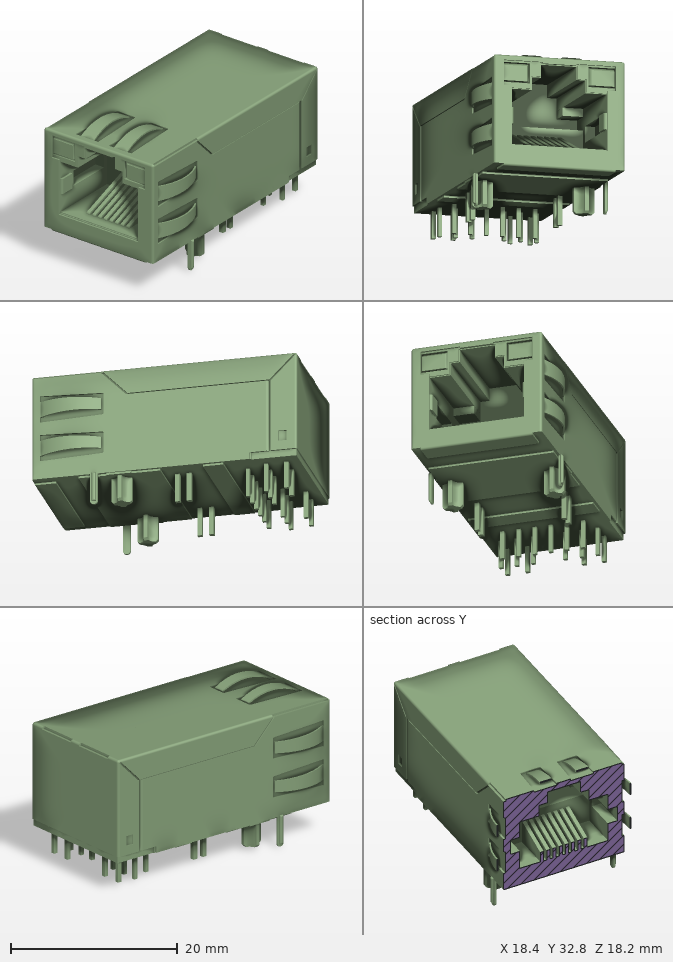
import cadquery as cq
import math

BODY_WIDTH = 16.5
BODY_LENGTH = 32.8
BODY_TOP = 13.55
STANDOFF = 0.25
SHEET = 0.25
EDGE_RADIUS = 0.3
HALF_WIDTH = BODY_WIDTH / 2
SIDES = (-1, 1)

CAVITY_HALF_WIDTH = 6.0
CAVITY_FLOOR = 2.72
CAVITY_DEPTH = 12.0
SHOULDER_HALF_WIDTH = 3.38
SHOULDER_BOTTOM = 9.5
SHOULDER_TOP = 11.05
LATCH_HALF_WIDTH = 2.22
LATCH_TOP = 12.65
LEAD_IN = 0.1
LEAD_IN_LENGTH = 0.15
SHIELD_OPENING_BOTTOM = 2.52
SHIELD_EAR_HALF_WIDTH = 7.05
SHIELD_EAR_BOTTOM = 9.9
SHIELD_EAR_TOP = 12.92
SHIELD_TONGUE_HALF_WIDTH = 2.1

COMB_FRONT = 9.6
COMB_TOP = 6.84
REAR_STOP_HALF_WIDTH = 3.4
REAR_STOP_BOTTOM = 8.5
CONTACT_COUNT = 8
CONTACT_PITCH = 0.852
CONTACT_WIDTH = 0.48
CONTACT_TIP_Y = 1.9
CONTACT_TIP_HEIGHT = 0.35
CONTACT_REAR_TOP = 5.8
GRIP_BOTTOM = 5.22
GRIP_TOP = 7.24
GRIP_PROUD = 0.33
GRIP_NOSE_RADIUS = 0.3
GRIP_REAR = 2.3
GRIP_SLOT_FRONT = 2.95
GRIP_SLOT_REAR = 9.0
GRIP_SLOT_DEPTH = 1.28

LED_INNER = 3.7
LED_BOTTOM = 10.25
LED_TOP = 12.7
LED_GAP = 0.1
LED_SILL = 0.22
LED_CHAMFER = 0.25
LED_POCKET_REAR = 0.9

SPRING_HEIGHT = 0.95
SPRING_SHEET = 0.2
SPRING_FOOT_DEPTH = 0.08
SPRING_FRONT = 1.25
SPRING_REAR = 8.56
SPRING_FRONT_HALF_WIDTH = 0.99
SPRING_REAR_HALF_WIDTH = 0.72
WINDOW_FRONT = 1.0
WINDOW_REAR = 8.88
WINDOW_FRONT_HALF_WIDTH = 1.7
WINDOW_REAR_HALF_WIDTH = 1.38
WINDOW_CORNER_RADIUS = 0.2
TOP_SPRING_X = 2.5
SIDE_SPRING_Z = (4.25, 9.27)

FLAP_BOTTOM = 10.27
FLAP_FRONT = 11.75
FLAP_REAR = 29.5
FLAP_RISE = 3.0
SEAM_WIDTH = 0.22
FLAP_SEAM_WIDTH = 0.12
REAR_SEAM_WIDTH = 0.19
REAR_SEAM_RADIUS = 0.41
REAR_SEAM_Y = 29.55
FRONT_CORNER_LENGTH = 8.9
REAR_NOTCHES = ((-6.25, -0.75), (0.75, 6.25))
REAR_NOTCH_SIZE = 0.35

BASE_FRONT = 26.9
BASE_TOP = 1.1
BASE_REAR_INSET = 0.12
BASE_LEDGE = 0.23
LATCH_WINDOW_FRONT = 30.5
LATCH_WINDOW_REAR = 31.5
LATCH_WINDOW_BOTTOM = 2.26
LATCH_WINDOW_HEIGHT = 1.28
LATCH_WINDOW_FLAT = 0.25

FRONT_FLANGE_LENGTH = 2.7
STANDOFF_BANDS = ((5.7, 15.8), (21.1, 23.6))
STANDOFF_HALF_WIDTH = 7.9
PEG_X = 6.4
PEG_Y = 10.73
PEG_SPAN = 2.57
PEG_RIB_WIDTH = 0.5
PEG_BOTTOM = -3.22
PEG_TIP_CHAMFER = 0.28
PEG_PAD_LENGTH = 3.1
PEG_PAD_WIDTH = 3.4
TAB_Y = 7.68
TAB_WIDTH = 0.95
TAB_BOTTOM = -3.68
TAB_RIB_WIDTH = 0.5
TAB_RIB_TOP = 0.4
TAB_RIB_BOTTOM = -3.3
TAB_RIB_PROUD = 0.27
TAB_RIB_RADIUS = 0.22

PIN_ROWS = (
    (31.02, 0.52, -3.1, (3.57, 6.1)),
    (28.5, 0.48, -3.32, (2.03, 4.1, 6.1)),
    (26.0, 0.48, -3.32, (1.0, 3.03, 5.1)),
    (18.85, 0.58, -3.32, (5.5,)),
    (17.4, 0.58, -3.32, (5.5,)),
)


def block(x_range, y_range, z_range):
    """Axis-aligned box given by its limits."""
    size = [limits[1] - limits[0] for limits in (x_range, y_range, z_range)]
    return cq.Workplane("XY").box(*size, centered=False).translate((x_range[0], y_range[0], z_range[0]))


def both_sides(solid):
    """The solid together with its mirror image across the centre plane."""
    return solid.union(solid.mirror("YZ"))


def front_prism(points, y_start, y_end):
    """Extrude an XZ outline from y_start to y_end."""
    return cq.Workplane("XZ", origin=(0, y_start, 0)).polyline(points).close().extrude(y_start - y_end)


def side_prism(points, depth):
    """Extrude a YZ outline inward from the +X side face."""
    return cq.Workplane("YZ", origin=(HALF_WIDTH, 0, 0)).polyline(points).close().extrude(-depth)


def mirrored_outline(right_half):
    """Close an XZ outline that is symmetric about X = 0 from its right half, listed bottom to top."""
    return right_half + [(-x, z) for x, z in reversed(right_half)]


def shell():
    """Outer block with the upright and top edges rounded."""
    body = block((-HALF_WIDTH, HALF_WIDTH), (0, BODY_LENGTH), (STANDOFF, BODY_TOP))
    return body.edges("|Z or >Z").fillet(EDGE_RADIUS)


def housing_outline(clearance):
    """Plug-shaped outline, widened all round by the clearance except at the side walls."""
    return mirrored_outline([
        (CAVITY_HALF_WIDTH, CAVITY_FLOOR - clearance),
        (CAVITY_HALF_WIDTH, SHOULDER_BOTTOM + clearance),
        (SHOULDER_HALF_WIDTH + clearance, SHOULDER_BOTTOM + clearance),
        (SHOULDER_HALF_WIDTH + clearance, SHOULDER_TOP + clearance),
        (LATCH_HALF_WIDTH + clearance, SHOULDER_TOP + clearance),
        (LATCH_HALF_WIDTH + clearance, LATCH_TOP + clearance),
    ])


def jack_opening():
    """Opening in the front sheet, then the stepped mouth and the cavity of the housing."""
    shield = mirrored_outline([
        (CAVITY_HALF_WIDTH, SHIELD_OPENING_BOTTOM),
        (CAVITY_HALF_WIDTH, SHIELD_EAR_BOTTOM),
        (SHIELD_EAR_HALF_WIDTH, SHIELD_EAR_BOTTOM),
        (SHIELD_EAR_HALF_WIDTH, SHIELD_EAR_TOP),
        (SHIELD_TONGUE_HALF_WIDTH, SHIELD_EAR_TOP),
        (SHIELD_TONGUE_HALF_WIDTH, LATCH_TOP + LEAD_IN),
    ])
    opening = front_prism(shield, 0, SHEET)
    opening = opening.union(front_prism(housing_outline(LEAD_IN), 0, SHEET + LEAD_IN_LENGTH))
    return opening.union(front_prism(housing_outline(0), 0, CAVITY_DEPTH))


def cavity_rear():
    """Wall behind the contacts and the two blocks hanging at the rear of the cavity."""
    comb = block(
        (-CAVITY_HALF_WIDTH, CAVITY_HALF_WIDTH),
        (COMB_FRONT, CAVITY_DEPTH),
        (CAVITY_FLOOR, COMB_TOP),
    )
    stop = block(
        (REAR_STOP_HALF_WIDTH, CAVITY_HALF_WIDTH),
        (COMB_FRONT, CAVITY_DEPTH),
        (REAR_STOP_BOTTOM, SHOULDER_BOTTOM),
    )
    return comb.union(both_sides(stop))


def contacts():
    """Sloping contact wires that rise from rounded tips on the floor to the comb wall."""
    tip_top = CAVITY_FLOOR + CONTACT_TIP_HEIGHT
    tip_shoulder = CONTACT_TIP_Y + CONTACT_TIP_HEIGHT
    bow = CONTACT_TIP_HEIGHT * (1 - math.sqrt(0.5))
    profile = (
        cq.Workplane("YZ")
        .moveTo(CONTACT_TIP_Y, CAVITY_FLOOR)
        .threePointArc((CONTACT_TIP_Y + bow, tip_top - bow), (tip_shoulder, tip_top))
        .lineTo(COMB_FRONT, CONTACT_REAR_TOP)
        .lineTo(COMB_FRONT, CAVITY_FLOOR)
        .close()
    )
    wire = profile.extrude(CONTACT_WIDTH / 2, both=True)
    first_x = -CONTACT_PITCH * (CONTACT_COUNT - 1) / 2
    row = wire.translate((first_x, 0, 0))
    for index in range(1, CONTACT_COUNT):
        row = row.union(wire.translate((first_x + index * CONTACT_PITCH, 0, 0)))
    return row


def grip_slots():
    """Recesses in the cavity side walls behind the inner grounding springs."""
    slot = block(
        (CAVITY_HALF_WIDTH, CAVITY_HALF_WIDTH + GRIP_SLOT_DEPTH),
        (GRIP_SLOT_FRONT, GRIP_SLOT_REAR),
        (GRIP_BOTTOM, GRIP_TOP),
    )
    return both_sides(slot)


def grips():
    """Inner grounding springs with a rounded leading edge."""
    grip = block(
        (CAVITY_HALF_WIDTH - GRIP_PROUD, CAVITY_HALF_WIDTH),
        (SHEET, GRIP_REAR),
        (GRIP_BOTTOM, GRIP_TOP),
    )
    return both_sides(grip.edges("|Z and <X and <Y").fillet(GRIP_NOSE_RADIUS))


def led_pockets():
    """Pockets in the upper front corners that hold the lenses."""
    pocket = block((LED_INNER, SHIELD_EAR_HALF_WIDTH), (0, LED_POCKET_REAR), (LED_BOTTOM, LED_TOP))
    return both_sides(pocket)


def led_lenses():
    """Lenses bevelled along their inner and top edges, raised above the pocket floor."""
    lens = block(
        (LED_INNER + LED_GAP, SHIELD_EAR_HALF_WIDTH - LED_GAP),
        (SHEET, LED_POCKET_REAR),
        (LED_BOTTOM + LED_SILL, LED_TOP - LED_GAP),
    )
    front_edges = lens.faces("<Y").edges("<X or >Z")
    return both_sides(front_edges.chamfer(LED_CHAMFER))


def spring_window():
    """Tapered window cutter for a spring, around Z = 0 on the +X side face."""
    outline = [
        (WINDOW_FRONT, -WINDOW_FRONT_HALF_WIDTH),
        (WINDOW_REAR, -WINDOW_REAR_HALF_WIDTH),
        (WINDOW_REAR, WINDOW_REAR_HALF_WIDTH),
        (WINDOW_FRONT, WINDOW_FRONT_HALF_WIDTH),
    ]
    return side_prism(outline, SHEET).edges("|X and >Y").fillet(WINDOW_CORNER_RADIUS)


def spring():
    """Tapered, outward bowed strip around Z = 0 on the +X side face, with both feet on the window floor."""
    chord = SPRING_REAR - SPRING_FRONT
    radius = (chord ** 2 / 4 + SPRING_HEIGHT ** 2) / (2 * SPRING_HEIGHT)
    center = (HALF_WIDTH + SPRING_HEIGHT - radius, (SPRING_FRONT + SPRING_REAR) / 2)
    arch = cq.Workplane("XY").center(*center).circle(radius).circle(radius - SPRING_SHEET)
    arch = arch.extrude(WINDOW_FRONT_HALF_WIDTH, both=True)
    foot_front = block(
        (HALF_WIDTH - SHEET, HALF_WIDTH - SPRING_FOOT_DEPTH),
        (WINDOW_FRONT, SPRING_FRONT + SPRING_SHEET),
        (-SPRING_FRONT_HALF_WIDTH, SPRING_FRONT_HALF_WIDTH),
    )
    outline = [
        (WINDOW_FRONT, -SPRING_FRONT_HALF_WIDTH),
        (SPRING_REAR, -SPRING_REAR_HALF_WIDTH),
        (SPRING_REAR, SPRING_REAR_HALF_WIDTH),
        (WINDOW_FRONT, SPRING_FRONT_HALF_WIDTH),
    ]
    envelope = side_prism(outline, SHEET).union(side_prism(outline, -2 * SPRING_HEIGHT))
    return arch.union(foot_front).intersect(envelope)


def placed_on_shield(feature):
    """Copies of a +X side feature at every spring position: two per side and two on the top."""
    copies = None
    for height in SIDE_SPRING_Z:
        pair = both_sides(feature.translate((0, 0, height)))
        copies = pair if copies is None else copies.union(pair)
    on_top = feature.rotate((0, 0, 0), (0, 1, 0), -90).translate((0, 0, BODY_TOP - HALF_WIDTH))
    return copies.union(both_sides(on_top.translate((TOP_SPRING_X, 0, 0))))


def flap_seams():
    """Narrow gaps along the lower edge and the two 45 degree edges of the folded side flap."""
    flap_top = FLAP_BOTTOM + FLAP_RISE
    half = FLAP_SEAM_WIDTH / 2
    lower = [
        (FLAP_FRONT, FLAP_BOTTOM - half),
        (FLAP_REAR, FLAP_BOTTOM - half),
        (FLAP_REAR, FLAP_BOTTOM + half),
        (FLAP_FRONT, FLAP_BOTTOM + half),
    ]
    seams = side_prism(lower, SHEET)
    shift = SEAM_WIDTH / math.sqrt(2)
    for start, direction in ((FLAP_FRONT, -1), (FLAP_REAR, 1)):
        end = start + direction * FLAP_RISE
        slanted = [
            (start - shift, FLAP_BOTTOM),
            (start + shift, FLAP_BOTTOM),
            (end + shift, flap_top),
            (end - shift, flap_top),
        ]
        seams = seams.union(side_prism(slanted, SHEET))
    return both_sides(seams)


def rear_seams():
    """Upright gap ahead of the rear wrap, where the side sheet rolls inward."""
    wall = REAR_SEAM_Y - REAR_SEAM_WIDTH
    tangent = wall - REAR_SEAM_RADIUS
    depth_x = HALF_WIDTH - REAR_SEAM_RADIUS
    diagonal = REAR_SEAM_RADIUS * math.sqrt(0.5)
    groove = (
        cq.Workplane("XY", origin=(0, 0, BASE_TOP))
        .moveTo(HALF_WIDTH, tangent)
        .threePointArc((depth_x + diagonal, tangent + diagonal), (depth_x, wall))
        .lineTo(depth_x, REAR_SEAM_Y)
        .lineTo(HALF_WIDTH, REAR_SEAM_Y)
        .close()
        .extrude(FLAP_BOTTOM - BASE_TOP)
    )
    return both_sides(groove)


def edge_notches():
    """Open corners of the shield along the front of the side edges and along the rear edge."""
    side = block(
        (HALF_WIDTH - EDGE_RADIUS, HALF_WIDTH),
        (EDGE_RADIUS, FRONT_CORNER_LENGTH),
        (BODY_TOP - SHEET, BODY_TOP),
    )
    notches = both_sides(side)
    for x_range in REAR_NOTCHES:
        rear = block(
            x_range,
            (BODY_LENGTH - REAR_NOTCH_SIZE, BODY_LENGTH),
            (BODY_TOP - REAR_NOTCH_SIZE, BODY_TOP),
        )
        notches = notches.union(rear)
    return notches


def base_cutback():
    """Sheet removed around the bare housing at the lower rear, with a stepped front end."""
    z_range = (0, BASE_TOP)
    side = block((HALF_WIDTH - SHEET, HALF_WIDTH), (BASE_FRONT + BASE_LEDGE, BODY_LENGTH), z_range)
    step = block((HALF_WIDTH - SHEET / 2, HALF_WIDTH), (BASE_FRONT, BASE_FRONT + BASE_LEDGE), z_range)
    rear = block((-HALF_WIDTH, HALF_WIDTH), (BODY_LENGTH - BASE_REAR_INSET, BODY_LENGTH), z_range)
    return both_sides(side.union(step)).union(rear)


def latch_windows():
    """Small side windows with a ramp rising to the front."""
    profile = [
        (HALF_WIDTH, LATCH_WINDOW_FRONT),
        (HALF_WIDTH - SHEET / 2, LATCH_WINDOW_FRONT),
        (HALF_WIDTH - SHEET, LATCH_WINDOW_REAR - LATCH_WINDOW_FLAT),
        (HALF_WIDTH - SHEET, LATCH_WINDOW_REAR),
        (HALF_WIDTH, LATCH_WINDOW_REAR),
    ]
    window = cq.Workplane("XY", origin=(0, 0, LATCH_WINDOW_BOTTOM)).polyline(profile).close()
    return both_sides(window.extrude(LATCH_WINDOW_HEIGHT))


def standoffs():
    """Rounded front flange and the bands across the underside."""
    flange = block(
        (-SHIELD_EAR_HALF_WIDTH, SHIELD_EAR_HALF_WIDTH),
        (0, FRONT_FLANGE_LENGTH),
        (0, 2 * STANDOFF),
    )
    feet = flange.edges("<Y and <Z").fillet(STANDOFF)
    for y_range in STANDOFF_BANDS:
        band = block((-STANDOFF_HALF_WIDTH, STANDOFF_HALF_WIDTH), y_range, (0, STANDOFF))
        feet = feet.union(band)
    return feet


def pegs():
    """Locating pegs with four ribs joined by concave quarter rounds, each under a rectangular pad."""
    half_span = PEG_SPAN / 2
    flute_radius = (PEG_SPAN - PEG_RIB_WIDTH) / 2
    peg = cq.Workplane("XY").rect(PEG_SPAN, PEG_SPAN).extrude(PEG_BOTTOM)
    peg = peg.faces("<Z").chamfer(PEG_TIP_CHAMFER)
    corners = [(x * half_span, y * half_span) for x in SIDES for y in SIDES]
    peg = peg.cut(cq.Workplane("XY").pushPoints(corners).circle(flute_radius).extrude(PEG_BOTTOM))
    pad = cq.Workplane("XY").rect(PEG_PAD_WIDTH, PEG_PAD_LENGTH).extrude(STANDOFF)
    return both_sides(peg.union(pad).translate((PEG_X, PEG_Y, 0)))


def shield_tabs():
    """Round-ended solder tabs in line with the side sheets, each stiffened by an outward rib."""
    round_center = TAB_BOTTOM + TAB_WIDTH / 2
    front = TAB_Y - TAB_WIDTH / 2
    rear = TAB_Y + TAB_WIDTH / 2
    tab = (
        cq.Workplane("YZ", origin=(HALF_WIDTH, 0, 0))
        .moveTo(front, BASE_TOP)
        .lineTo(front, round_center)
        .threePointArc((TAB_Y, TAB_BOTTOM), (rear, round_center))
        .lineTo(rear, BASE_TOP)
        .close()
        .extrude(-SHEET)
    )
    rib = block(
        (HALF_WIDTH - SHEET, HALF_WIDTH + TAB_RIB_PROUD),
        (TAB_Y - TAB_RIB_WIDTH / 2, TAB_Y + TAB_RIB_WIDTH / 2),
        (TAB_RIB_BOTTOM, TAB_RIB_TOP),
    )
    return both_sides(tab.union(rib.faces(">X").edges().fillet(TAB_RIB_RADIUS)))


def pins():
    """Square pins, row by row."""
    rows = None
    for y, width, bottom, distances in PIN_ROWS:
        centers = [(side * x, y) for side in SIDES for x in distances]
        row = cq.Workplane("XY", origin=(0, 0, bottom)).pushPoints(centers).rect(width, width)
        row = row.extrude(2 * STANDOFF - bottom)
        rows = row if rows is None else rows.union(row)
    return rows


result = shell()
for opening in (
    jack_opening(),
    led_pockets(),
    grip_slots(),
    placed_on_shield(spring_window()),
    flap_seams(),
    rear_seams(),
    edge_notches(),
    base_cutback(),
    latch_windows(),
):
    result = result.cut(opening)
for addition in (
    cavity_rear(),
    contacts(),
    grips(),
    led_lenses(),
    placed_on_shield(spring()),
    standoffs(),
    pegs(),
    shield_tabs(),
    pins(),
):
    result = result.union(addition)